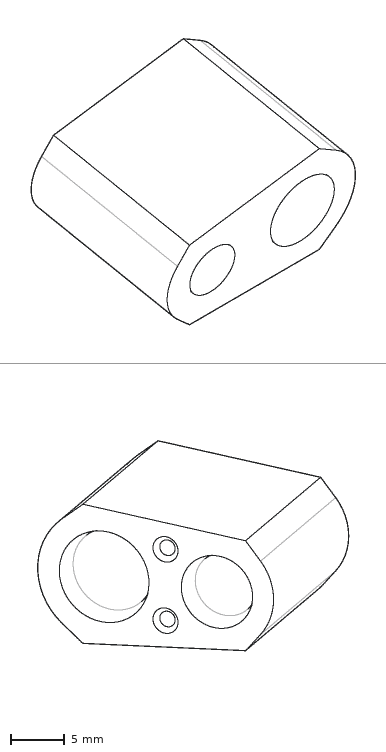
import cadquery as cq
import math

length = 19.05
width = 23.88
front_x = -length / 2

large_y = 5.2
small_y = -6.2
large_mouth_diameter = 9.07
large_diameter = 8.1
small_mouth_diameter = 7.2
small_throat_diameter = 6.2
small_exit_diameter = 5.7
mouth_depth = 2.27

large_corner_y = 7.35
large_corner_z = 6.95
small_corner_y = -9.1
small_corner_z = 5.5

pit_y = -1.0
pit_z = 3.55
pit_diameter = 2.53
pit_floor_diameter = 1.55
pit_depth = (pit_diameter - pit_floor_diameter) / 2


def tangent_point(center_y, end_y, corner_y, corner_z):
    """Point where the line from an upper corner touches the rounded end."""
    side = math.copysign(1, end_y - center_y)
    radius = abs(end_y - center_y)
    reach_y = abs(corner_y - center_y)
    corner_distance = math.hypot(reach_y, corner_z)
    angle = math.atan2(corner_z, reach_y) - math.acos(radius / corner_distance)
    return center_y + side * radius * math.cos(angle), radius * math.sin(angle)


def make_block():
    large_end_y = width / 2
    small_end_y = -width / 2
    large_ty, large_tz = tangent_point(large_y, large_end_y, large_corner_y, large_corner_z)
    small_ty, small_tz = tangent_point(small_y, small_end_y, small_corner_y, small_corner_z)
    return (
        cq.Workplane("YZ", origin=(front_x, 0, 0))
        .moveTo(large_corner_y, large_corner_z)
        .lineTo(large_ty, large_tz)
        .threePointArc((large_end_y, 0), (large_ty, -large_tz))
        .lineTo(large_corner_y, -large_corner_z)
        .lineTo(small_corner_y, -small_corner_z)
        .lineTo(small_ty, -small_tz)
        .threePointArc((small_end_y, 0), (small_ty, small_tz))
        .lineTo(small_corner_y, small_corner_z)
        .close()
        .extrude(length)
    )


def tapered_cutter(y, z, start_depth, end_depth, start_diameter, end_diameter):
    """Cone along +X between two depths below the -X face."""
    start = cq.Vector(front_x + start_depth, y, z)
    return cq.Workplane(
        cq.Solid.makeCone(
            start_diameter / 2, end_diameter / 2, end_depth - start_depth, start, cq.Vector(1, 0, 0)
        )
    )


result = make_block()

result = result.cut(tapered_cutter(large_y, 0, 0, mouth_depth, large_mouth_diameter, large_diameter))
large_passage = (
    cq.Workplane("YZ", origin=(front_x, 0, 0))
    .center(large_y, 0)
    .circle(large_diameter / 2)
    .extrude(length)
)
result = result.cut(large_passage)

result = result.cut(
    tapered_cutter(small_y, 0, 0, mouth_depth, small_mouth_diameter, small_throat_diameter)
)
result = result.cut(
    tapered_cutter(small_y, 0, mouth_depth, length, small_throat_diameter, small_exit_diameter)
)

for z in (pit_z, -pit_z):
    result = result.cut(tapered_cutter(pit_y, z, 0, pit_depth, pit_diameter, pit_floor_diameter))